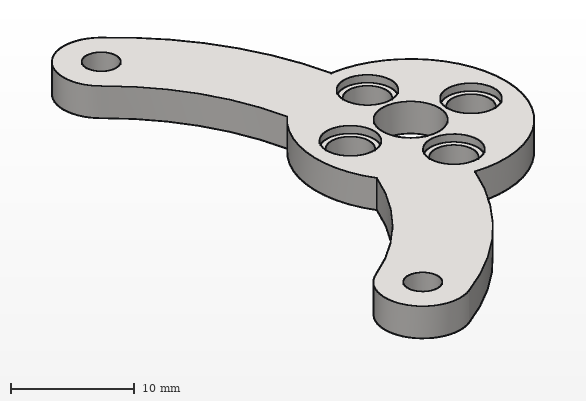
import cadquery as cq
import math

thickness = 3.0
hub_radius = 10.0
center_hole_diameter = 6.0

bolt_circle_radius = 6.0
bolt_hole_diameter = 4.0
counterbore_diameter = 5.0
counterbore_depth = 0.75
bolt_count = 4

overall_width = 52.6
tip_radius = 4.0
tip_x = overall_width / 2 - tip_radius
tip_y = -14.8
tip_hole_diameter = 3.15

outer_arc_center = (1.2, -28.65)
inner_arc_center = (-0.95, -31.25)


def edge_arc(center, tip_offset):
    """Start, middle and tip points of an arm edge, from inside the hub to the tip.

    tip_offset is the distance from the tip axis to the edge, positive outward.
    """
    center_x, center_y = center
    to_tip_x = tip_x - center_x
    to_tip_y = tip_y - center_y
    radius = math.hypot(to_tip_x, to_tip_y) + tip_offset
    start_angle = math.pi / 2
    end_angle = math.atan2(to_tip_y, to_tip_x)
    angles = (start_angle, (start_angle + end_angle) / 2, end_angle)
    return [
        (center_x + radius * math.cos(angle), center_y + radius * math.sin(angle))
        for angle in angles
    ]


def make_arm():
    """The +X arm, from inside the hub to its rounded tip."""
    outer_start, outer_middle, outer_end = edge_arc(outer_arc_center, tip_radius)
    inner_start, inner_middle, inner_end = edge_arc(inner_arc_center, -tip_radius)
    band = (
        cq.Workplane("XY")
        .moveTo(*outer_start)
        .threePointArc(outer_middle, outer_end)
        .lineTo(tip_x, tip_y)
        .lineTo(*inner_end)
        .threePointArc(inner_middle, inner_start)
        .close()
        .extrude(thickness)
    )
    tip = (
        cq.Workplane("XY")
        .center(tip_x, tip_y)
        .circle(tip_radius)
        .extrude(thickness)
    )
    return band.union(tip)


plate = cq.Workplane("XY").circle(hub_radius).extrude(thickness)
arm = make_arm()
plate = plate.union(arm).union(arm.mirror("YZ"))

top_plane = cq.Workplane("XY", origin=(0, 0, thickness))
plate = plate.cut(top_plane.circle(center_hole_diameter / 2).extrude(-thickness))
tip_holes = (
    top_plane.pushPoints([(-tip_x, tip_y), (tip_x, tip_y)])
    .circle(tip_hole_diameter / 2)
    .extrude(-thickness)
)
plate = plate.cut(tip_holes)

bolt_layout = top_plane.polarArray(bolt_circle_radius, 0, 360, bolt_count)
bolt_holes = bolt_layout.circle(bolt_hole_diameter / 2).extrude(-thickness)
counterbores = bolt_layout.circle(counterbore_diameter / 2).extrude(-counterbore_depth)
result = plate.cut(bolt_holes).cut(counterbores)